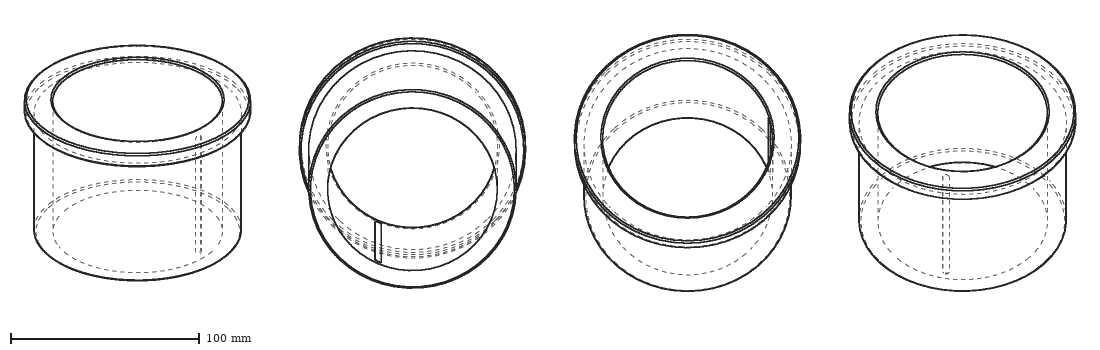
import cadquery as cq

flange_diameter = 120.0
body_diameter = 110.0
bore_diameter = 90.0
height = 80.0
flange_thickness = 8.0
edge_chamfer = 1.0
groove_radius = 1.8
groove_end_margin = 4.0

body = cq.Workplane("XY").circle(body_diameter / 2).extrude(height)
body = body.faces("<Z").chamfer(edge_chamfer)

flange = (
    cq.Workplane("XY", origin=(0, 0, height - flange_thickness))
    .circle(flange_diameter / 2)
    .extrude(flange_thickness)
    .edges()
    .chamfer(edge_chamfer)
)

bore = cq.Workplane("XY").circle(bore_diameter / 2).extrude(height)
rim_cone = (
    cq.Workplane("XY", origin=(0, 0, height))
    .circle(bore_diameter / 2 + edge_chamfer)
    .extrude(-edge_chamfer, taper=45)
)

groove_axis_x = bore_diameter / 2
groove_bottom = groove_end_margin + groove_radius
groove_top = height - groove_bottom
groove = (
    cq.Workplane("XY", origin=(groove_axis_x, 0, groove_bottom))
    .circle(groove_radius)
    .extrude(groove_top - groove_bottom)
)
for end_z in (groove_bottom, groove_top):
    groove = groove.union(cq.Workplane("XY", origin=(groove_axis_x, 0, end_z)).sphere(groove_radius))

result = body.union(flange).cut(bore).cut(rim_cone).cut(groove)